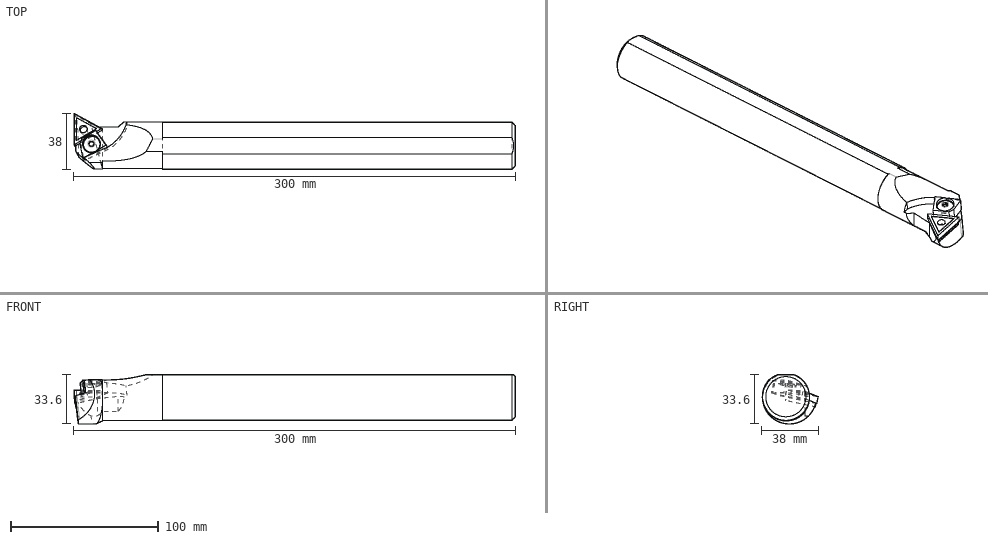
import cadquery as cq
import math

TOTAL_LENGTH = 300.0
SHANK_RADIUS = 16.05
FLAT_HEIGHT = 15.0
END_CHAMFER = 2.5

NECK_END = 60.0
NECK_RADIUS = 16.0
NECK_OFFSET = 0.3

HEAD_LENGTH = 19.5
HEAD_RADIUS = 18.3
HEAD_CENTER_Y = 2.5
HEAD_CENTER_Z = -0.3
HEAD_STEP = 0.3
HEAD_CONE_SLOPE = 0.45

OUTER_WIDTH = 38.0
TIP_Y = OUTER_WIDTH - SHANK_RADIUS
RAKE_ANGLE = 6.0
INCLINATION = 12.0

INSERT_EDGE = 22.0
INSERT_THICKNESS = 4.8
INSERT_HOLE_RADIUS = 2.55
LAND_WIDTH = 1.8
LAND_HEIGHT = 0.3
SHIM_THICKNESS = 2.5
SHIM_INSET = 0.3

RAMP_EDGE_Y = 15.0
RAMP_EDGE_Z = 6.0
RAMP_PROFILE = [(21.0, 0.0), (36.0, 1.2), (54.0, 7.0), (72.0, 16.8)]
RAMP_START = -6.0

FACE_SETBACK = 0.5
CORNER_START = (FACE_SETBACK, -23.5)
CORNER_MIDDLE = (0.5, -25.0)
CORNER_END = (1.5, -26.5)
SLANT_ANGLE = 43.0

SIDE_FACE_Y = 13.0
SIDE_FACE_END = 30.0
SIDE_SLOPE_END = 34.0

POCKET_CORNER = (7.0, -31.8)
POCKET_BEND = (24.0, -24.0)
POCKET_ARC_MIDDLE = (32.0, -16.2)
POCKET_ARC_END = (35.7, -9.3)
POCKET_MARGIN = 15.0

CLAMP_HEIGHT = 4.2
CLAMP_EDGE_START = 5.7
CLAMP_EDGE_END = 15.3
CLAMP_FRONT = [(4.5, -22.2), (6.3, -31.5), (7.8, -31.5)]
CLAMP_BACK = (22.5, -23.5)
SCREW_CENTER = (12.3, -22.2)
SCREW_RECESS_RADIUS = 6.0
SCREW_RECESS_DEPTH = 2.5
SCREW_HEAD_RADIUS = 5.7
SCREW_HEAD_ROUND = 3.3
SOCKET_WIDTH = 3.5
SOCKET_DEPTH = 1.8

REACH = 90.0

rake = math.radians(RAKE_ANGLE)
inclination = math.radians(INCLINATION)
top_normal = cq.Vector(
    -math.sin(rake),
    math.cos(rake) * math.sin(inclination),
    math.cos(rake) * math.cos(inclination),
)
edge_direction = cq.Vector(0, math.cos(inclination), -math.sin(inclination))
insert_plane = cq.Plane((0, TIP_Y, 0), edge_direction.cross(top_normal), top_normal)

EDGE_SLOPE = math.tan(math.radians(30))
insert_inradius = INSERT_EDGE * EDGE_SLOPE / 2
insert_center = (insert_inradius, -INSERT_EDGE / 2)


def on_insert(height):
    """Workplane parallel to the insert's top face, at a height above it."""
    return cq.Workplane(insert_plane).workplane(offset=height)


def triangle_prism(top, thickness, inset=0.0):
    """Prism below a height, on the insert outline moved inwards by an inset."""
    diameter = 4 * (insert_inradius - inset)
    return on_insert(top).center(*insert_center).polygon(3, diameter).extrude(-thickness)


def make_insert():
    """Triangular insert with a central hole and a sunken middle inside its edge lands."""
    middle = triangle_prism(0, LAND_HEIGHT, LAND_WIDTH)
    hole = on_insert(0).center(*insert_center).circle(INSERT_HOLE_RADIUS).extrude(-INSERT_THICKNESS)
    blank = triangle_prism(0, INSERT_THICKNESS)
    return blank.cut(middle).cut(hole)


def make_shank():
    return (
        cq.Workplane("YZ", origin=(NECK_END, 0, 0))
        .circle(SHANK_RADIUS)
        .extrude(TOTAL_LENGTH - NECK_END)
        .faces(">X")
        .chamfer(END_CHAMFER)
    )


def make_neck():
    return cq.Workplane("YZ").center(NECK_OFFSET, -NECK_OFFSET).circle(NECK_RADIUS).extrude(NECK_END)


def make_head():
    """Head cylinder, trimmed by a cone that narrows to the neck."""
    cylinder = (
        cq.Workplane("YZ").center(HEAD_CENTER_Y, HEAD_CENTER_Z).circle(HEAD_RADIUS).extrude(HEAD_LENGTH)
    )
    small_radius = NECK_RADIUS + HEAD_STEP
    cone = cq.Solid.makeCone(
        small_radius + HEAD_CONE_SLOPE * HEAD_LENGTH,
        small_radius,
        HEAD_LENGTH,
        pnt=cq.Vector(0, NECK_OFFSET, -NECK_OFFSET),
        dir=cq.Vector(1, 0, 0),
    )
    return cylinder.intersect(cq.Workplane(cone))


def flat_cut():
    """Everything above the long flat."""
    return (
        cq.Workplane("XY", origin=(0, 0, FLAT_HEIGHT))
        .rect(3 * TOTAL_LENGTH, REACH)
        .extrude(REACH)
    )


def ramp_cut():
    """Relief above the head: a sloping face that curves up to the long flat."""
    ramp_plane = cq.Plane(
        (0, RAMP_EDGE_Y, RAMP_EDGE_Z),
        (1, 0, 0),
        (0, -math.cos(inclination), math.sin(inclination)),
    )
    end_rise = RAMP_PROFILE[-1][1]
    return (
        cq.Workplane(ramp_plane)
        .moveTo(RAMP_START, 0)
        .spline(RAMP_PROFILE, includeCurrent=True)
        .lineTo(RAMP_START, end_rise)
        .close()
        .extrude(REACH, both=True)
    )


def front_cut():
    """Everything outside the end face, its rounded corner and the slanting face."""
    slant_end_x = CORNER_END[0] + REACH
    slant_end_y = CORNER_END[1] - REACH * math.tan(math.radians(SLANT_ANGLE))
    return (
        on_insert(-REACH)
        .moveTo(FACE_SETBACK, REACH)
        .lineTo(*CORNER_START)
        .threePointArc(CORNER_MIDDLE, CORNER_END)
        .lineTo(slant_end_x, slant_end_y)
        .lineTo(-REACH, slant_end_y)
        .lineTo(-REACH, REACH)
        .close()
        .extrude(2 * REACH)
    )


def side_cut():
    """Clears the +Y side: along the insert's free edge, then a flat that slopes out to the neck."""
    face_start = (TIP_Y - SIDE_FACE_Y) / EDGE_SLOPE
    neck_side = NECK_OFFSET + NECK_RADIUS
    return (
        cq.Workplane("XY", origin=(0, 0, -REACH))
        .moveTo(0, TIP_Y)
        .lineTo(face_start, SIDE_FACE_Y)
        .lineTo(SIDE_FACE_END, SIDE_FACE_Y)
        .lineTo(SIDE_SLOPE_END, neck_side)
        .lineTo(SIDE_SLOPE_END, REACH)
        .lineTo(0, REACH)
        .close()
        .extrude(2 * REACH)
    )


def chip_pocket():
    """Pocket down to the insert's seat, with a wall that curves out to the +Y side."""
    wall_slope = (POCKET_BEND[1] - POCKET_CORNER[1]) / (POCKET_BEND[0] - POCKET_CORNER[0])
    front_y = POCKET_CORNER[1] - wall_slope * (POCKET_CORNER[0] + POCKET_MARGIN)
    return (
        on_insert(-INSERT_THICKNESS)
        .moveTo(-POCKET_MARGIN, front_y)
        .lineTo(*POCKET_BEND)
        .threePointArc(POCKET_ARC_MIDDLE, POCKET_ARC_END)
        .lineTo(POCKET_ARC_END[0], POCKET_MARGIN)
        .lineTo(-POCKET_MARGIN, POCKET_MARGIN)
        .close()
        .extrude(REACH)
    )


def clamp():
    """Wedge block along the insert's inner edge, with a round-headed screw in a recess."""
    edge_start = (CLAMP_EDGE_START, -INSERT_EDGE + CLAMP_EDGE_START * EDGE_SLOPE)
    edge_end = (CLAMP_EDGE_END, -INSERT_EDGE + CLAMP_EDGE_END * EDGE_SLOPE)
    block = (
        on_insert(-INSERT_THICKNESS)
        .polyline([edge_start, *CLAMP_FRONT, CLAMP_BACK, edge_end])
        .close()
        .extrude(INSERT_THICKNESS + CLAMP_HEIGHT)
    )
    clamp_top = on_insert(CLAMP_HEIGHT).center(*SCREW_CENTER)
    recess = clamp_top.circle(SCREW_RECESS_RADIUS).extrude(-SCREW_RECESS_DEPTH)
    screw_head = (
        clamp_top.circle(SCREW_HEAD_RADIUS)
        .extrude(-INSERT_THICKNESS - CLAMP_HEIGHT)
        .faces(cq.selectors.DirectionMinMaxSelector(top_normal))
        .edges()
        .fillet(SCREW_HEAD_ROUND)
    )
    socket = clamp_top.polygon(6, SOCKET_WIDTH).extrude(-SOCKET_DEPTH)
    return block.cut(recess).union(screw_head).cut(socket)


def make_holder():
    """Bar with its head cuts, shim and clamp, and the insert's seat left free."""
    bar = make_shank().union(make_neck()).union(make_head()).cut(flat_cut())
    for cut in (ramp_cut(), front_cut(), side_cut(), chip_pocket()):
        bar = bar.cut(cut)
    shim = triangle_prism(-INSERT_THICKNESS, SHIM_THICKNESS, SHIM_INSET)
    return bar.union(shim).union(clamp()).cut(triangle_prism(0, INSERT_THICKNESS))


insert = make_insert()
holder = make_holder()
result = cq.Compound.makeCompound([holder.solids().val(), insert.solids().val()])